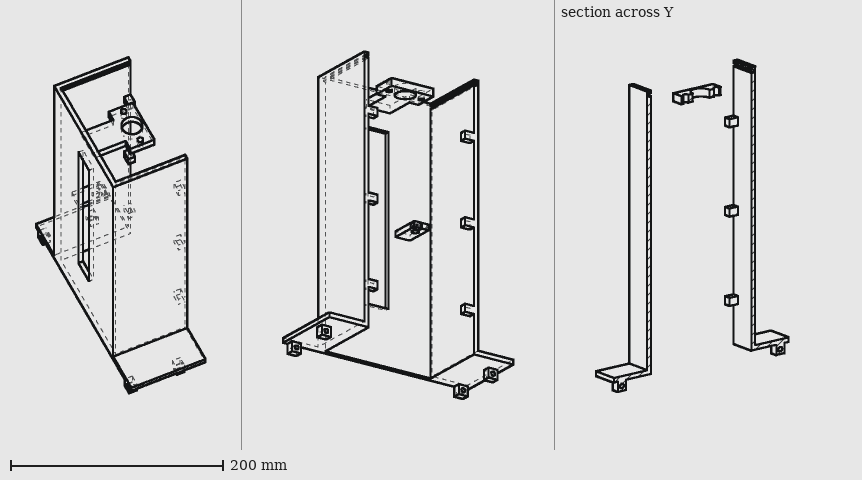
import cadquery as cq


total_height = 290.0
total_depth = 77.5
tower_width = 130.0
wall = 5.0

base_width = 210.0
base_thickness = 5.0

foot_height = 10.2
foot_width = 10.2
foot_depth = 8.0
foot_inset = 5.0
rear_foot_y = 50.0
foot_hole_diameter = 4.0

window_width = 23.2
window_height = 180.0
window_bottom = 70.0

groove_depth = 2.3
groove_height = 3.0
groove_top_gap = 2.5

tab_width = 10.2
tab_depth = 7.0
tab_height = 8.0
lowest_tab_z = 51.3
tab_pitch = 88.2
tab_count = 3

bracket_top_z = 277.5
bracket_thickness = 8.0
arm_width = 27.0
head_width = 47.5
head_depth = 25.2
bracket_reach = 62.5
bracket_hole_y = 50.5
main_hole_diameter = 20.0
screw_hole_diameter = 5.5
screw_hole_spacing = 36.5

clamp_x = -28.0
clamp_width = 16.2
clamp_reach = 36.2
clamp_thickness = 5.8
clamp_z = 145.0
clamp_hole_diameter = 7.0
clamp_hole_y = 25.8
slit_width = 1.02
clamp_screw_y = 32.5
clamp_screw_diameter = 3.0
screw_head_diameter = 5.5
screw_head_depth = 3.5

base_bottom = foot_height
inner_width = tower_width - 2 * wall


def box(width, depth, height, x, y, z):
    """Box centred on x, starting at y and z."""
    block = cq.Workplane("XY").box(width, depth, height, centered=(True, False, False))
    return block.translate((x, y, z))


def make_tower():
    height = total_height - base_bottom
    tower = box(tower_width, total_depth, height, 0, 0, base_bottom)
    tower = tower.union(box(base_width, total_depth, base_thickness, 0, 0, base_bottom))
    tower = tower.cut(box(inner_width, total_depth, height, 0, wall, base_bottom))
    tower = tower.cut(box(window_width, wall, window_height, 0, 0, window_bottom))
    groove_z = total_height - groove_top_gap - groove_height
    groove_span = inner_width + 2 * groove_depth
    return tower.cut(box(groove_span, total_depth, groove_height, 0, wall, groove_z))


def make_foot(x, y):
    foot = box(foot_width, foot_depth, foot_height, x, y, 0)
    front = cq.Workplane("XZ", origin=(x, y, foot_height / 2))
    return foot.cut(front.circle(foot_hole_diameter / 2).extrude(-foot_depth))


def make_bracket():
    z = bracket_top_z - bracket_thickness
    head_y = bracket_reach - head_depth
    bracket = box(arm_width, head_y - wall, bracket_thickness, 0, wall, z)
    bracket = bracket.union(box(head_width, head_depth, bracket_thickness, 0, head_y, z))
    holes = cq.Workplane("XY", origin=(0, bracket_hole_y, z))
    main_hole = holes.circle(main_hole_diameter / 2).extrude(bracket_thickness)
    screw_points = [(-screw_hole_spacing / 2, 0), (screw_hole_spacing / 2, 0)]
    screw_holes = holes.pushPoints(screw_points).circle(screw_hole_diameter / 2).extrude(bracket_thickness)
    return bracket.cut(main_hole).cut(screw_holes)


def make_clamp():
    clamp = box(clamp_width, clamp_reach - wall, clamp_thickness, clamp_x, wall, clamp_z)
    hole = cq.Workplane("XY", origin=(clamp_x, clamp_hole_y, clamp_z))
    clamp = clamp.cut(hole.circle(clamp_hole_diameter / 2).extrude(clamp_thickness))
    slit_length = clamp_reach - clamp_hole_y
    clamp = clamp.cut(box(slit_width, slit_length, clamp_thickness, clamp_x, clamp_hole_y, clamp_z))

    screw_z = clamp_z + clamp_thickness / 2
    right_x = clamp_x + clamp_width / 2
    side = cq.Workplane("YZ", origin=(right_x, clamp_screw_y, screw_z))
    screw = side.circle(clamp_screw_diameter / 2).extrude(-clamp_width)
    head = side.circle(screw_head_diameter / 2).extrude(-screw_head_depth)
    return clamp.cut(screw).cut(head)


def make_tab(x, z):
    return box(tab_width, tab_depth, tab_height, x, total_depth - tab_depth, z)


result = make_tower().union(make_bracket()).union(make_clamp())

foot_x = base_width / 2 - foot_inset - foot_width / 2
tab_x = inner_width / 2 - tab_width / 2
for side in (-1, 1):
    for foot_y in (0, rear_foot_y):
        result = result.union(make_foot(side * foot_x, foot_y))
    for level in range(tab_count):
        result = result.union(make_tab(side * tab_x, lowest_tab_z + level * tab_pitch))